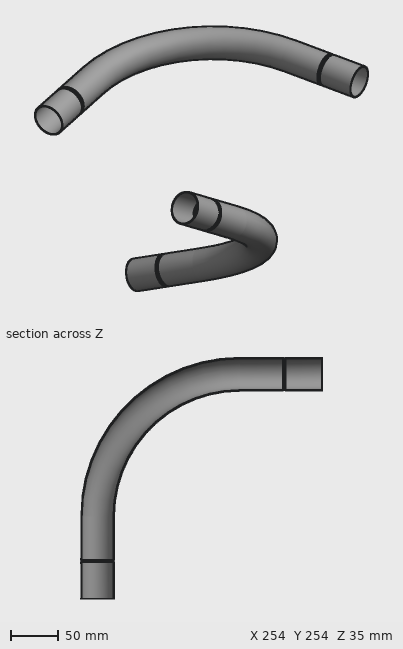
import cadquery as cq

overall_size = 254.0
outer_diameter = 35.0
wall_thickness = 1.0
straight_length = 86.6
groove_center_from_end = 40.0
groove_width = 3.0
groove_depth = 0.8

outer_radius = outer_diameter / 2
inner_radius = outer_radius - wall_thickness
bend_radius = overall_size - straight_length - outer_radius
groove_from_bend = straight_length - groove_center_from_end


def bent_rod(radius):
    """Solid round rod following leg, quarter bend and leg."""
    front_section = cq.Workplane("XZ", origin=(-bend_radius, 0, 0)).circle(radius)
    front_leg = front_section.extrude(straight_length)
    bend = (
        cq.Workplane("XZ", origin=(-bend_radius, 0, 0))
        .circle(radius)
        .revolve(90, (bend_radius, 0), (bend_radius, -1))
    )
    side_section = cq.Workplane("YZ", origin=(0, bend_radius, 0)).circle(radius)
    side_leg = side_section.extrude(straight_length)
    return front_leg.union(bend).union(side_leg)


def rolled_groove_spool(surface_radius):
    """Short rod on the X leg whose surface is pinched in by the V groove."""
    half_width = groove_width / 2
    return (
        cq.Workplane("XY", origin=(groove_from_bend, bend_radius, 0))
        .moveTo(-half_width, 0)
        .lineTo(-half_width, surface_radius)
        .lineTo(0, surface_radius - groove_depth)
        .lineTo(half_width, surface_radius)
        .lineTo(half_width, 0)
        .close()
        .revolve(360, (0, 0), (1, 0))
    )


def groove_band():
    """Solid disc across the X leg, as wide as the groove."""
    return (
        cq.Workplane("YZ", origin=(groove_from_bend - groove_width / 2, bend_radius, 0))
        .circle(outer_diameter)
        .extrude(groove_width)
    )


def swap_legs(solid):
    """Half turn about the (-1, 1, 0) diagonal, which exchanges the two legs."""
    return solid.rotate((0, 0, 0), (-1, 1, 0), 180)


tube = bent_rod(outer_radius).cut(bent_rod(inner_radius))
band = groove_band()
rolled_wall = rolled_groove_spool(outer_radius).cut(rolled_groove_spool(inner_radius))

result = (
    tube.cut(band)
    .cut(swap_legs(band))
    .union(rolled_wall)
    .union(swap_legs(rolled_wall))
)